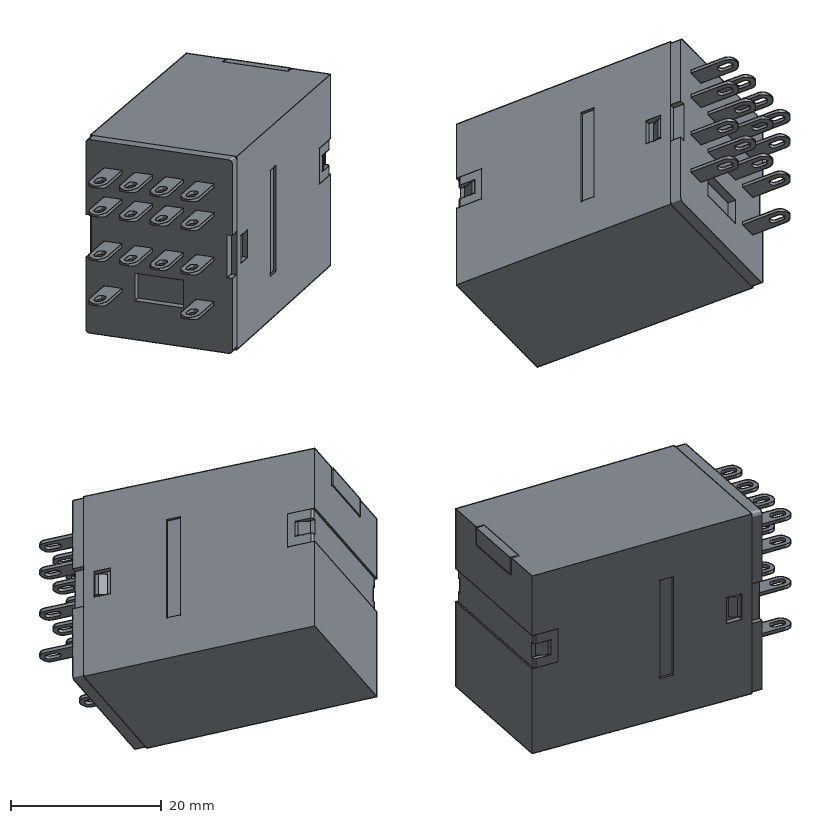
import cadquery as cq


front_width = 21.0
front_height = 27.5
cover_taper = 0.15
cover_rear = 35.0
wall = 0.8
cavity_rear = 29.05

flange_depth = 1.58
flange_corner_radius = 0.55
core_rear = 6.65
side_notch_height = 6.1
recess_width = 6.97
recess_height = 3.95
recess_depth = 1.15
recess_center_z = -6.25

window_front = 3.1
window_rear = 5.45
window_height = 3.9
lug_flat_rear = 3.65
lug_ramp_rear = 4.75
lug_height = 3.1
lug_rise = 0.6

groove_front = 13.53
groove_rear = 15.55
groove_height = 15.02
groove_depth = 0.37

terminal_length = 6.4
terminal_width = 2.57
terminal_thickness = 0.5
terminal_pitch = 4.4
terminal_columns = [(i - 1.5) * terminal_pitch for i in range(4)]
outer_columns = [terminal_columns[0], terminal_columns[-1]]
terminal_rows = [
    (9.8, terminal_columns),
    (5.7, terminal_columns),
    (-0.62, terminal_columns),
    (-6.97, outer_columns),
]
eye_width = 1.2
eye_length = 2.25
eye_from_tip = 1.83
tip_bevel_length = 0.55
tip_bevel_depth = 0.12

clip_front = 31.05
clip_rear = 34.75
clip_height = 5.05
clip_center_z = 1.9
clip_arm = 0.65
clip_bridge_front = 34.1
clip_chamfer = 0.3
clip_slot_front = 32.12
clip_slot_height = 2.3

catch_flat_rear = 32.55
catch_ramp_rear = 33.75
catch_rear = clip_bridge_front
catch_height = 2.08
catch_rise = 0.62
catch_step = 0.15

tab_rear = 35.1
tab_depth = 1.3
tab_front_width = 9.38
tab_rear_width = 9.15
tab_step = 0.4
tab_height = 2.65
tab_front = tab_rear - tab_depth


def inset(y):
    """Distance the tapered cover side has moved inward at depth y."""
    return cover_taper * (y - flange_depth) / (cover_rear - flange_depth)


def half_width(y):
    return front_width / 2 - inset(y)


def half_height(y):
    return front_height / 2 - inset(y)


arm_inner_x = clip_arm - half_width(clip_front)
cavity_width = front_width - 2 * wall
cavity_height = front_height - 2 * wall


def box(x0, x1, y0, y1, z0, z1):
    return cq.Workplane("XY").box(x1 - x0, y1 - y0, z1 - z0, centered=False).translate((x0, y0, z0))


def centered_box(width, y0, y1, height, center_z=0.0):
    """Box symmetric about X = 0, with its height centred on center_z."""
    return box(-width / 2, width / 2, y0, y1, center_z - height / 2, center_z + height / 2)


def plate(points, height, center_z=0.0):
    """Closed XY outline extruded symmetrically about center_z."""
    return (
        cq.Workplane("XY")
        .polyline(points)
        .close()
        .extrude(height / 2, both=True)
        .translate((0, 0, center_z))
    )


def both_sides(left):
    """A feature of the -X side together with its mirror image on the +X side."""
    return [left, left.mirror("YZ")]


def side_boxes(inner_x, y0, y1, height, center_z=0.0):
    """Matching cutters on both sides, from the outermost side plane in to inner_x (on the -X side)."""
    z0 = center_z - height / 2
    return both_sides(box(-front_width / 2, inner_x, y0, y1, z0, z0 + height))


def make_tapered_block():
    """Solid outer shape of the cover, narrowing towards the rear."""
    return (
        cq.Workplane("XZ", origin=(0, flange_depth, 0))
        .rect(front_width, front_height)
        .workplane(offset=flange_depth - cover_rear)
        .rect(2 * half_width(cover_rear), 2 * half_height(cover_rear))
        .loft(ruled=True)
    )


def make_clip_pocket():
    """Channel across the cover rear and down both sides, where the clip sits."""
    channel = centered_box(front_width, clip_bridge_front, cover_rear, clip_height, clip_center_z)
    for side in side_boxes(arm_inner_x, clip_front, cover_rear, clip_height, clip_center_z):
        channel = channel.union(side)
    return channel


def make_clip_catch():
    """Lug on the -X side of the cover: flat crest, gentle ramp, then a steep rear face."""
    points = [
        (arm_inner_x, clip_slot_front),
        (arm_inner_x - catch_rise, clip_slot_front),
        (arm_inner_x - catch_rise, catch_flat_rear),
        (arm_inner_x - catch_step, catch_ramp_rear),
        (arm_inner_x, catch_rear),
    ]
    return plate(points, catch_height, clip_center_z)


def make_cover():
    cover = make_tapered_block()
    cover = cover.cut(centered_box(cavity_width, flange_depth, cavity_rear, cavity_height))
    cover = cover.cut(centered_box(front_width, window_front, window_rear, window_height))
    groove_floor_x = groove_depth - half_width(groove_front)
    for groove in side_boxes(groove_floor_x, groove_front, groove_rear, groove_height):
        cover = cover.cut(groove)
    cover = cover.cut(make_clip_pocket())
    for catch in both_sides(make_clip_catch()):
        cover = cover.union(catch)
    tab_bottom = half_height(cover_rear) - tab_height
    return cover.cut(
        box(
            -tab_front_width / 2, tab_front_width / 2, tab_front, cover_rear,
            tab_bottom, front_height / 2,
        )
    )


def make_terminal():
    """Solder terminal lying in the XY plane, rooted at the base front face."""
    radius = terminal_width / 2
    terminal = (
        cq.Workplane("XY")
        .moveTo(-radius, 0)
        .lineTo(-radius, radius - terminal_length)
        .threePointArc((0, -terminal_length), (radius, radius - terminal_length))
        .lineTo(radius, 0)
        .close()
        .extrude(terminal_thickness / 2, both=True)
    )
    eye = (
        cq.Workplane("XY")
        .center(0, eye_from_tip - terminal_length)
        .slot2D(eye_length, eye_width, 90)
        .extrude(terminal_thickness, both=True)
    )
    bevel = (
        cq.Workplane("YZ")
        .polyline([
            (-terminal_length, terminal_thickness / 2),
            (-terminal_length, terminal_thickness / 2 - tip_bevel_depth),
            (tip_bevel_length - terminal_length, terminal_thickness / 2),
        ])
        .close()
        .extrude(radius, both=True)
    )
    return terminal.cut(eye).cut(bevel).cut(bevel.mirror("XY"))


def make_window_lug():
    """Lug on the -X side of the base core: flat crest at the front, ramp falling to the rear."""
    root_x = -cavity_width / 2
    points = [
        (root_x, window_front),
        (root_x - lug_rise, window_front),
        (root_x - lug_rise, lug_flat_rear),
        (root_x, lug_ramp_rear),
    ]
    return plate(points, lug_height)


def make_base():
    base = centered_box(front_width, 0, flange_depth, front_height).edges("|Y").fillet(flange_corner_radius)
    for notch in side_boxes(-cavity_width / 2, 0, flange_depth, side_notch_height):
        base = base.cut(notch)
    base = base.union(centered_box(cavity_width, flange_depth, core_rear, cavity_height))
    base = base.cut(centered_box(recess_width, 0, recess_depth, recess_height, recess_center_z))
    for lug in both_sides(make_window_lug()):
        base = base.union(lug)
    terminal = make_terminal()
    for z, columns in terminal_rows:
        for x in columns:
            base = base.union(terminal.translate((x, 0, z)))
    return base


def make_clip():
    front_x = half_width(clip_front)
    rear_x = half_width(clip_rear)
    left_half = [
        (0, clip_rear),
        (clip_chamfer - rear_x, clip_rear),
        (-rear_x, clip_rear - clip_chamfer),
        (-front_x, clip_front),
        (arm_inner_x, clip_front),
        (arm_inner_x, clip_bridge_front),
        (0, clip_bridge_front),
    ]
    right_half = [(-x, y) for x, y in reversed(left_half[1:-1])]
    clip = plate(left_half + right_half, clip_height, clip_center_z)
    for slot in side_boxes(arm_inner_x, clip_slot_front, clip_rear, clip_slot_height, clip_center_z):
        clip = clip.cut(slot)
    return clip


def make_tab():
    top = half_height(cover_rear)
    bottom = top - tab_height
    wide = box(-tab_front_width / 2, tab_front_width / 2, tab_front, tab_front + tab_step, bottom, top)
    narrow = box(-tab_rear_width / 2, tab_rear_width / 2, tab_front, tab_rear, bottom, top)
    return wide.union(narrow)


cover = make_cover()
base = make_base()
clip = make_clip()
tab = make_tab()

result = cq.Compound.makeCompound([body.solids().val() for body in (cover, base, clip, tab)])